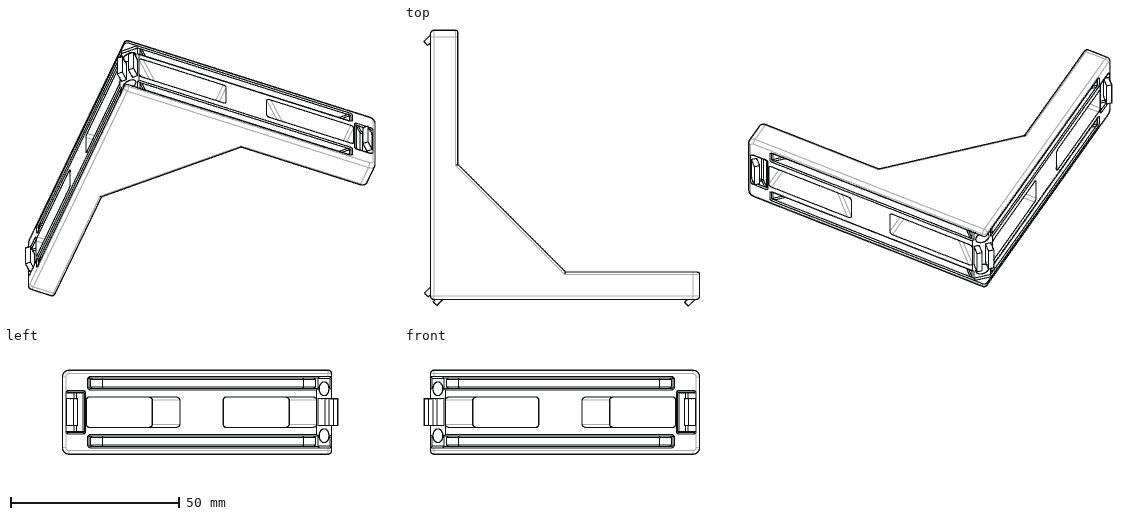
import cadquery as cq
import math

overall_length = 81.9
clip_overhang = 2.0
height = 25.0
arm_length = overall_length - clip_overhang
arm_thickness = 8.2
brace_reach = 40.1
brace_plate_thickness = 2.6

outer_round = 1.1
inner_round = 0.7
end_round = 2.05

window_width = 27.7
window_height = 9.0
window_starts = (4.4, 45.05)
window_round = 0.9

edge_bevel = 0.4
mouth_corner_round = 0.8

groove_start = 4.4
groove_end = 72.4
groove_offset = 8.6
groove_width = 3.9
groove_depth = 3.9

seat_reach = 4.4
seat_height = 21.1
seat_bevel = 0.5
mark_diameter = 4.1
mark_offset = 7.0
mark_depth = 0.1

notch_start = 73.0
notch_end = 78.9
notch_height = 12.9
notch_depth = 2.4

clip_thickness = 1.6
clip_projection = 3.0
clip_height = 8.0
clip_root = 0.8
corner_clip_offset = 1.8

end_clip_tip = math.sqrt(0.5) * (notch_end + 2 * clip_overhang)
end_clip_offset = end_clip_tip - clip_projection - clip_thickness / 2


def upright(outline, prism_height):
    """Prism over a plan outline, centred on mid-height."""
    return cq.Workplane("XY").polyline(outline).close().extrude(prism_height / 2, both=True)


def on_y_arm(shape):
    """Swap X and Y, turning a feature of the X arm into the matching one of the Y arm."""
    return shape.mirror("XZ").rotate((0, 0, 0), (0, 0, 1), 90)


def slanted_plane(reach):
    """Upright plane facing out past the corner at 45 degrees, crossing the X axis at the given reach."""
    middle = reach / 2
    return cq.Plane((middle, middle, 0), (1, -1, 0), (-1, -1, 0))


def bevelled_mouth(start, end, mouth_height):
    """Shallow round-cornered pocket in the X arm's outer face, its walls leaning in at 45 degrees."""
    outline = cq.Sketch().rect(end - start, mouth_height).vertices().fillet(mouth_corner_round)
    mouth = cq.Workplane("XZ").center((start + end) / 2, 0).placeSketch(outline)
    return mouth.extrude(-edge_bevel, taper=45)


def bevelled_channel(start, end, depth, mouth_height):
    """Channel in the X arm with 45 degree end walls, bevelled where its bottom meets its sides."""
    outline = [(start, 0), (end, 0), (end - depth, depth), (start + depth, depth)]
    channel = upright(outline, mouth_height - 2 * edge_bevel)
    return channel.edges("(>Z or <Z) and (not <Y)").chamfer(edge_bevel)


def make_body():
    """L-shaped block with a diagonal brace and rounded edges."""
    outline = [
        (0, 0),
        (arm_length, 0),
        (arm_length, arm_thickness),
        (brace_reach, arm_thickness),
        (arm_thickness, brace_reach),
        (arm_thickness, arm_length),
        (0, arm_length),
    ]
    body = upright(outline, height)
    body = body.faces(">X or >Y").edges("#Z").fillet(end_round)
    body = body.faces("<X or <Y").edges().fillet(outer_round)

    margin = 0.1
    inner_low = arm_thickness - margin
    inner_side = cq.selectors.BoxSelector(
        (inner_low, inner_low, -height),
        (arm_length, arm_length, height),
    )
    return body.faces(inner_side).edges("not |Z").fillet(inner_round)


def make_brace_cavity():
    """Hollow between the top and bottom plates of the brace, open along the diagonal."""
    inner = arm_thickness
    outline = [(inner, inner), (brace_reach, inner), (inner, brace_reach)]
    return upright(outline, height - 2 * brace_plate_thickness)


def make_window(start):
    """Opening through the X arm with one end wall slanted at 45 degrees."""
    end = start + window_width
    outline = [(start, 0), (end, 0), (end, arm_thickness), (start + arm_thickness, arm_thickness)]
    window = upright(outline, window_height)
    return window.edges("(>Z or <Z) and (not |X)").fillet(window_round)


def make_groove(middle_height):
    """Long groove in the X arm that runs out through the corner seat."""
    mouth = bevelled_mouth(0, groove_end, groove_width)
    channel = bevelled_channel(groove_start, groove_end - edge_bevel, groove_depth, groove_width)
    return mouth.union(channel).translate((0, 0, middle_height))


def make_notch():
    """Recess near the end of the X arm whose far wall carries the end clip."""
    mouth = bevelled_mouth(notch_start, notch_end, notch_height)
    channel = bevelled_channel(notch_start + edge_bevel, notch_end, notch_depth, notch_height)
    return mouth.union(channel)


def make_seat():
    """Cutter that takes the outer corner back to a slanted face with bevelled inner edges."""
    half_height = seat_height / 2
    section = [
        (0, half_height - seat_bevel),
        (seat_bevel, half_height),
        (seat_reach, half_height),
        (seat_reach, -half_height),
        (seat_bevel, -half_height),
        (0, seat_bevel - half_height),
    ]
    face = slanted_plane(seat_reach)
    across = cq.Plane(face.origin, face.zDir, -face.xDir)
    return cq.Workplane(across).polyline(section).close().extrude(seat_reach, both=True)


def make_marks():
    """Two shallow round recesses in the seat."""
    centres = [(0, -mark_offset), (0, mark_offset)]
    marks = cq.Workplane(slanted_plane(seat_reach)).pushPoints(centres)
    return marks.circle(mark_diameter / 2).extrude(-mark_depth)


def make_clip(reach, offset):
    """Clip on the slanted face with the given reach, shifted sideways along that face."""
    root = cq.Workplane(slanted_plane(reach)).workplane(offset=-clip_root).center(offset, 0)
    return root.rect(clip_thickness, clip_height).extrude(clip_root + clip_projection)


arm_cuts = [make_window(start) for start in window_starts]
arm_cuts += [make_groove(side * groove_offset) for side in (-1, 1)]
arm_cuts.append(make_notch())
arm_clips = [
    make_clip(seat_reach, corner_clip_offset),
    make_clip(notch_end, end_clip_offset),
]

result = make_body().cut(make_brace_cavity())
for feature in arm_cuts:
    result = result.cut(feature).cut(on_y_arm(feature))
result = result.cut(make_seat()).cut(make_marks())
for feature in arm_clips:
    result = result.union(feature).union(on_y_arm(feature))